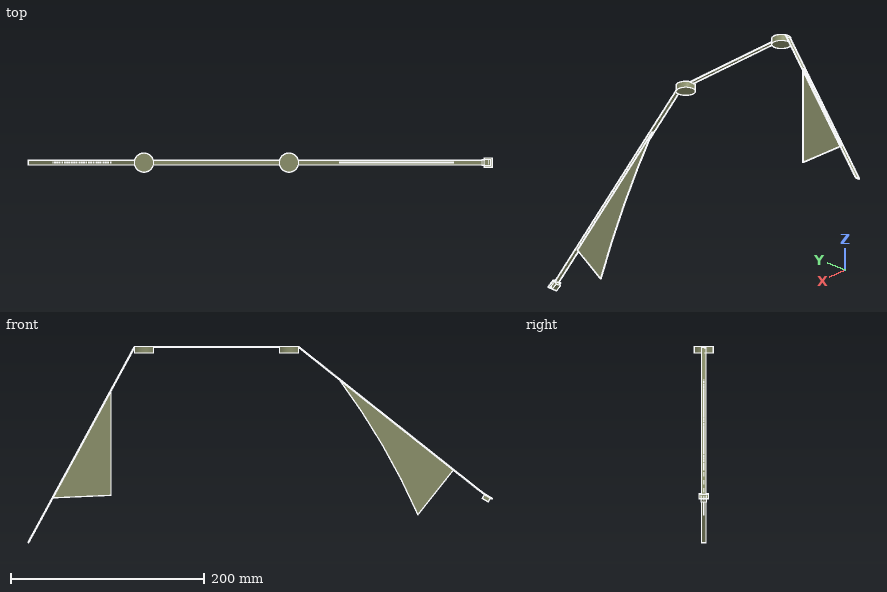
import cadquery as cq
import math

strip_width = 5.0
strip_thickness = 1.0
bridge_length = 170.0
left_arm_length = 230.75
left_arm_slope = 61.5
right_arm_length = 250.0
right_arm_slope = 38.4

disc_diameter = 20.0
disc_height = 7.0
disc_spacing = 150.0

fin_thickness = 1.0
left_fin_start = 50.3
left_fin_vertical_edge = 110.0
left_fin_end = 178.5
right_fin_start = 51.0
right_fin_end = 205.0
right_fin_depth = 60.0
right_fin_edge_sagitta = 4.7

holder_position = 245.1
holder_slope = 30.0
tip_plate_length = 10.0
tip_plate_width = 10.0
tip_plate_thickness = 1.0
tip_block_length = 7.5
tip_block_width = 6.0
tip_block_depth = 5.5
tip_block_inset = 0.5

LEFT = -1
RIGHT = 1
BRIDGE_ENDS = {LEFT: (-bridge_length / 2, 0), RIGHT: (bridge_length / 2, 0)}
ARM_SLOPES = {LEFT: left_arm_slope, RIGHT: right_arm_slope}


def slope_point(origin, slope_degrees, side, along, below):
    """XZ point at a distance down a slope that falls toward one side, and a depth under the slope."""
    slope = math.radians(slope_degrees)
    reach = along * math.cos(slope) - below * math.sin(slope)
    drop = along * math.sin(slope) + below * math.cos(slope)
    return (origin[0] + side * reach, origin[1] - drop)


def arm_point(side, along, below=0):
    """XZ point on an arm: distance along its top face from the bend, and depth under that face."""
    return slope_point(BRIDGE_ENDS[side], ARM_SLOPES[side], side, along, below)


def sloped_bar(origin, slope_degrees, side, length, depth, width):
    """Rectangular bar whose top face runs down a slope from the origin, centred on Y = 0."""
    corners = [
        origin,
        slope_point(origin, slope_degrees, side, length, 0),
        slope_point(origin, slope_degrees, side, length, depth),
        slope_point(origin, slope_degrees, side, 0, depth),
    ]
    return cq.Workplane("XZ").polyline(corners).close().extrude(width / 2, both=True)


def make_arm(side, length):
    return sloped_bar(BRIDGE_ENDS[side], ARM_SLOPES[side], side, length, strip_thickness, strip_width)


def make_bridge():
    return cq.Workplane("XY").box(
        bridge_length, strip_width, strip_thickness, centered=(True, True, False)
    ).translate((0, 0, -strip_thickness))


def make_disc(side):
    return (
        cq.Workplane("XY")
        .center(side * disc_spacing / 2, 0)
        .circle(disc_diameter / 2)
        .extrude(-disc_height)
    )


def make_left_fin():
    """Triangle with a vertical inner edge."""
    top = arm_point(LEFT, left_fin_start)
    foot = (top[0], top[1] - left_fin_vertical_edge)
    outer = arm_point(LEFT, left_fin_end)
    outline = cq.Workplane("XZ").polyline([top, foot, outer]).close()
    return outline.extrude(fin_thickness / 2, both=True)


def make_right_fin():
    """Right-angled triangle whose long free edge curves in toward the arm."""
    start = arm_point(RIGHT, right_fin_start)
    corner = arm_point(RIGHT, right_fin_end)
    tip = arm_point(RIGHT, right_fin_end, right_fin_depth)
    outline = (
        cq.Workplane("XZ")
        .moveTo(*start)
        .lineTo(*corner)
        .lineTo(*tip)
        .sagittaArc(start, -right_fin_edge_sagitta)
        .close()
    )
    return outline.extrude(fin_thickness / 2, both=True)


def make_tip_holder():
    plate_start = arm_point(RIGHT, holder_position)
    plate = sloped_bar(
        plate_start, holder_slope, RIGHT, tip_plate_length, tip_plate_thickness, tip_plate_width
    )
    block_start = slope_point(plate_start, holder_slope, RIGHT, tip_block_inset, 0)
    block = sloped_bar(
        block_start, holder_slope, RIGHT, tip_block_length, tip_block_depth, tip_block_width
    )
    return plate.union(block)


result = (
    make_bridge()
    .union(make_disc(LEFT))
    .union(make_disc(RIGHT))
    .union(make_arm(LEFT, left_arm_length))
    .union(make_arm(RIGHT, right_arm_length))
    .union(make_left_fin())
    .union(make_right_fin())
    .union(make_tip_holder())
)